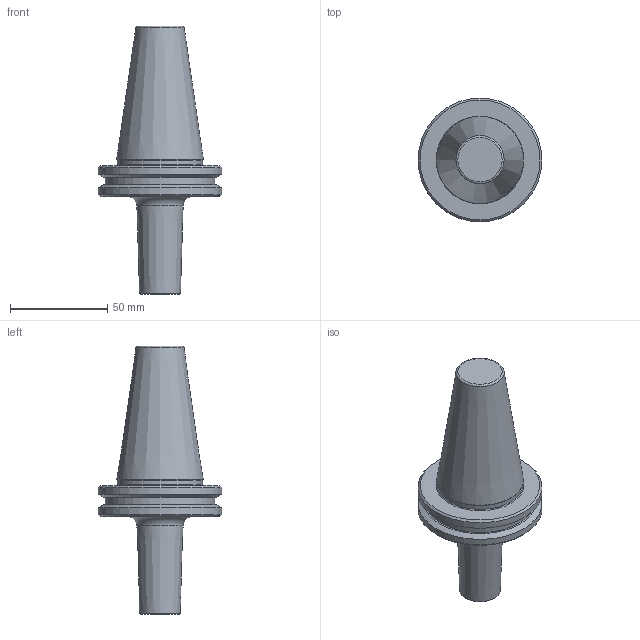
import cadquery as cq
import math


gauge_radius = 44.45 / 2
taper_length = 68.4
taper_ratio = 7 / 24
taper_end_radius = gauge_radius - taper_ratio * taper_length / 2
taper_end_fillet = 1.0

neck_radius = 44.0 / 2
neck_relief_height = 0.4
neck_foot_size = 0.5

flange_radius = 63.5 / 2
flange_top = -3.2
flange_bottom = -19.1
flange_chamfer = 1.0

groove_middle = (flange_top + flange_bottom) / 2
groove_root_radius = 56.25 / 2
groove_root_width = 3.75
groove_mouth_width = 7.0
groove_flank_angle = 30

nose_length = 50.0
nose_end = flange_bottom - nose_length
nose_top_radius = 24.0 / 2
nose_end_radius = 21.0 / 2
nose_fillet_radius = 5.0
nose_end_chamfer = 0.3


def revolve_profile(points):
    """Solid of revolution about Z from a closed outline of (radius, height) points."""
    return cq.Workplane("XZ").polyline(points).close().revolve(360, (0, 0), (0, 1))


def make_taper():
    """Taper with a rounded small end."""
    cone = revolve_profile([
        (0, 0),
        (gauge_radius, 0),
        (taper_end_radius, taper_length),
        (0, taper_length),
    ])
    return cone.faces(">Z").edges().fillet(taper_end_fillet)


def make_neck():
    """Slightly relieved neck between the gauge plane and the flange, flared at its foot."""
    return revolve_profile([
        (0, 0),
        (gauge_radius, 0),
        (neck_radius, -neck_relief_height),
        (neck_radius, flange_top + neck_foot_size),
        (neck_radius + neck_foot_size, flange_top),
        (0, flange_top),
    ])


def make_flange():
    """Disc with chamfered rims."""
    disc = cq.Workplane("XY").workplane(offset=flange_bottom)
    disc = disc.circle(flange_radius).extrude(flange_top - flange_bottom)
    return disc.edges().chamfer(flange_chamfer)


def make_groove():
    """Ring that cuts the groove: straight at the root, then flaring to the rim."""
    half_root = groove_root_width / 2
    half_mouth = groove_mouth_width / 2
    flank_depth = (half_mouth - half_root) / math.tan(math.radians(groove_flank_angle))
    flank_start_radius = flange_radius - flank_depth
    return revolve_profile([
        (groove_root_radius, groove_middle - half_root),
        (flank_start_radius, groove_middle - half_root),
        (flange_radius, groove_middle - half_mouth),
        (flange_radius, groove_middle + half_mouth),
        (flank_start_radius, groove_middle + half_root),
        (groove_root_radius, groove_middle + half_root),
    ])


def make_nose():
    """Tapered nose that flares into the flange through a tangent fillet."""
    slant = math.atan((nose_top_radius - nose_end_radius) / nose_length)
    fillet_centre_height = flange_bottom - nose_fillet_radius
    cone_radius_at_centre = nose_top_radius - nose_fillet_radius * math.tan(slant)
    fillet_centre_radius = cone_radius_at_centre + nose_fillet_radius / math.cos(slant)

    def fillet_point(angle):
        return (
            fillet_centre_radius - nose_fillet_radius * math.cos(angle),
            fillet_centre_height + nose_fillet_radius * math.sin(angle),
        )

    flange_tangent = math.pi / 2
    nose = (
        cq.Workplane("XZ")
        .moveTo(0, flange_bottom)
        .lineTo(*fillet_point(flange_tangent))
        .threePointArc(fillet_point((flange_tangent + slant) / 2), fillet_point(slant))
        .lineTo(nose_end_radius, nose_end)
        .lineTo(0, nose_end)
        .close()
        .revolve(360, (0, 0), (0, 1))
    )
    return nose.faces("<Z").edges().chamfer(nose_end_chamfer)


grooved_flange = make_flange().cut(make_groove())
result = make_taper().union(make_neck()).union(grooved_flange).union(make_nose())